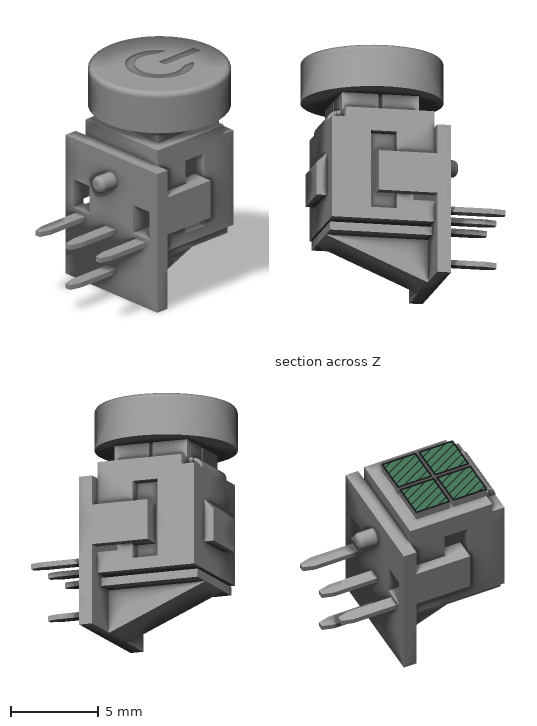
import cadquery as cq


plate_width = 7.6
plate_height = 8.7
plate_thickness = 0.8
plate_front = -3.0
plate_back = plate_front - plate_thickness

body_size = 6.0
body_half = body_size / 2
body_bottom = 3.15
body_top = 9.67
recess_depth = 0.7
recess_y = (-0.82, 0.71)
recess_z = (3.83, 8.35)

step_depth = 0.78
step_height = 0.58
shoulder_width = 4.0
lip_width = 3.6
lip_depth = 0.53

latch_width = 3.0
latch_reach = 0.57
latch_bottom = 4.77
latch_top = 7.25

plunger_size = 4.5
plunger_slot = 0.22

total_height = 13.2
button_diameter = 8.2
button_height = 2.5
button_edge_radius = 0.3
button_bottom = total_height - button_height

mark_depth = 0.1
mark_bar_width = 0.56
mark_bar_y = (0.18, 3.0)
mark_ring_outer_radius = 1.97
mark_ring_inner_radius = 1.4
mark_ring_gap = 2.2

arm_thickness = 0.65
arm_end = 0.42
arm_z = (4.66, 6.99)
arm_outer = plate_width / 2
arm_inner = arm_outer - arm_thickness
hook_engagement = 0.5

window_x = (1.81, arm_inner)
window_z = (4.37, 6.12)
window_end = -1.77

shelf_width = 5.0
shelf_top = 2.96
shelf_thickness = 0.48
rib_width = 2.7
rib_foot = -2.92

peg_diameter = 1.0
peg_length = 1.2
peg_edge_radius = 0.3
peg_z = 7.1

pin_width = 0.74
pin_thickness = 0.3
pin_tip_width = 0.36
pin_tip_length = 0.7
pin_end = -7.25
pin_pitch = 2.5
pin_upper_z = 3.98
pin_lower_z = pin_upper_z - pin_pitch


def block(x_range, y_range, z_range):
    """Box spanning the given ranges along X, Y and Z."""
    sizes = [end - start for start, end in (x_range, y_range, z_range)]
    corner = (x_range[0], y_range[0], z_range[0])
    return cq.Workplane("XY").box(*sizes, centered=False).translate(corner)


def centered(width):
    """Range of the given width about zero."""
    return (-width / 2, width / 2)


def side_profile(points, width):
    """Prism of the given (y, z) outline, centred on X = 0."""
    return cq.Workplane("YZ").polyline(points).close().extrude(width / 2, both=True)


def make_body():
    body = block(centered(body_size), centered(body_size), (body_bottom, body_top))
    step_y = (body_half - step_depth, body_half)
    step_z = (body_top - step_height, body_top)
    body = body.cut(block(centered(body_size), step_y, step_z))
    lip_back = body_half - lip_depth
    shoulder = block(centered(shoulder_width), (step_y[0], lip_back), step_z)
    lip = block(centered(lip_width), step_y, step_z)
    lip = lip.edges("|X and >Y and >Z").fillet(lip_depth)
    body = body.union(shoulder).union(lip)
    recess = block((body_half - recess_depth, body_half), recess_y, recess_z)
    return body.cut(recess).cut(recess.mirror("YZ"))


def make_latch():
    outer = body_half + latch_reach
    outline = [
        (body_half, latch_bottom),
        (outer, latch_bottom),
        (outer, latch_top - latch_reach),
        (body_half, latch_top),
    ]
    return side_profile(outline, latch_width)


def make_plunger():
    height = (body_top, button_bottom)
    plunger = block(centered(plunger_size), centered(plunger_size), height)
    plunger = plunger.cut(block(centered(plunger_slot), centered(plunger_size), height))
    return plunger.cut(block(centered(plunger_size), centered(plunger_slot), height))


def make_power_mark():
    mark_z = (total_height - mark_depth, total_height)
    ring = (
        cq.Workplane("XY", origin=(0, 0, mark_z[0]))
        .circle(mark_ring_outer_radius)
        .circle(mark_ring_inner_radius)
        .extrude(mark_depth)
    )
    ring = ring.cut(block(centered(mark_ring_gap), (0, mark_ring_outer_radius), mark_z))
    return ring.union(block(centered(mark_bar_width), mark_bar_y, mark_z))


def make_button():
    button = (
        cq.Workplane("XY", origin=(0, 0, button_bottom))
        .circle(button_diameter / 2)
        .extrude(button_height)
        .faces(">Z")
        .edges()
        .fillet(button_edge_radius)
    )
    return button.cut(make_power_mark())


def make_bracket():
    bracket = block(centered(plate_width), (plate_back, plate_front), (0, plate_height))

    arm = block((arm_inner, arm_outer), (plate_front, arm_end), arm_z)
    hook = block((body_half - hook_engagement, arm_inner), (recess_y[0], arm_end), arm_z)
    bracket = bracket.union(arm).union(arm.mirror("YZ")).union(hook)

    shelf_bottom = shelf_top - shelf_thickness
    shelf = block(centered(shelf_width), (plate_front, body_half), (shelf_bottom, shelf_top))
    rib_outline = [
        (body_half, shelf_bottom),
        (plate_front, shelf_bottom),
        (plate_front, 0),
        (rib_foot, 0),
    ]
    return bracket.union(shelf).union(side_profile(rib_outline, rib_width))


def make_peg():
    return (
        cq.Workplane("XZ", origin=(0, plate_back, peg_z))
        .circle(peg_diameter / 2)
        .extrude(peg_length)
        .faces("<Y")
        .edges()
        .fillet(peg_edge_radius)
    )


def make_pin(x, z):
    shoulder = pin_end + pin_tip_length
    outline = [
        (-pin_width / 2, plate_back),
        (-pin_width / 2, shoulder),
        (-pin_tip_width / 2, pin_end),
        (pin_tip_width / 2, pin_end),
        (pin_width / 2, shoulder),
        (pin_width / 2, plate_back),
    ]
    pin = cq.Workplane("XY").polyline(outline).close().extrude(pin_thickness / 2, both=True)
    return pin.translate((x, 0, z))


result = make_body().union(make_bracket())
window = block(window_x, (plate_back, window_end), window_z)
result = result.cut(window).cut(window.mirror("YZ"))

result = result.union(make_latch()).union(make_plunger()).union(make_button()).union(make_peg())

pin_places = [(column * pin_pitch, pin_upper_z) for column in (-1, 0, 1)]
pin_places.append((0, pin_lower_z))
for pin_x, pin_z in pin_places:
    result = result.union(make_pin(pin_x, pin_z))